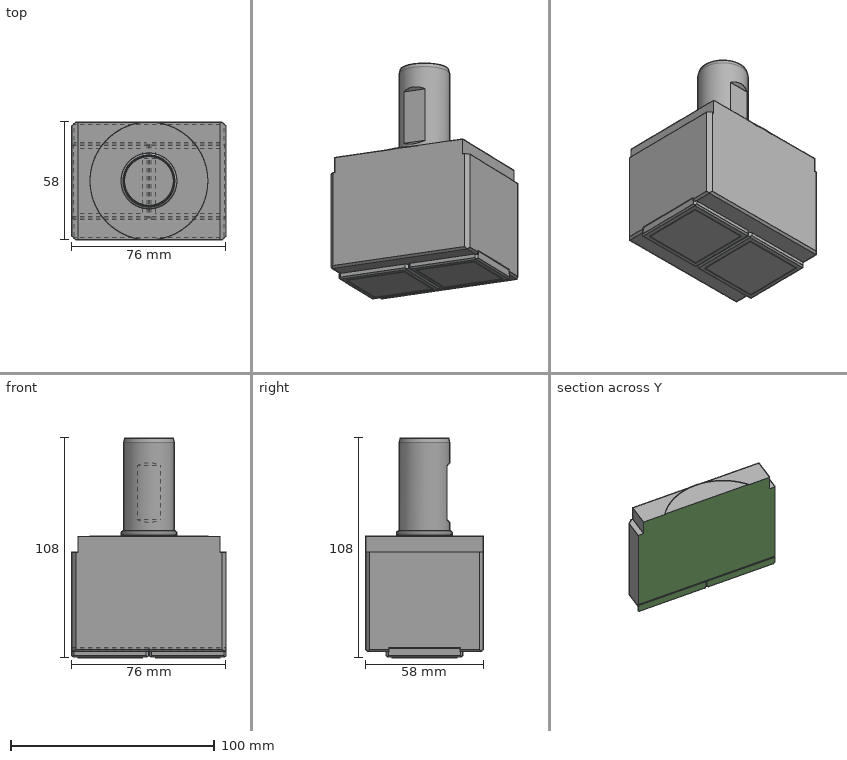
import cadquery as cq

total_height = 108.0
body_length = 76.0
body_width = 58.0
body_bottom = 3.0
shoulder_height = 52.0
upper_length = 70.0
corner_chamfer = 2.0
bottom_chamfer = 1.1

seat_diameter = body_width
seat_top = 60.0
seat_thickness = 0.3
body_top = seat_top - seat_thickness

shank_diameter = 25.0
shank_chamfer_height = 2.0
shank_chamfer_width = 0.5
flat_offset = 11.1
flat_top = 94.5
flat_bottom = 68.0

collar_diameter = 27.5
collar_height = 1.8
collar_fillet = 1.0
neck_diameter = 25.5
neck_below_collar = 0.5
neck_above_collar = 0.2
collar_bottom = seat_top + neck_below_collar
collar_top = collar_bottom + collar_height

pad_count = 2
pad_gap = 0.3
pad_pitch = (body_length + pad_gap) / pad_count
pad_size = pad_pitch - pad_gap
pad_corner_chamfer = 1.2
pad_step = 0.3
pad_bottom_chamfer = 0.8
pad_face_inset = 3.0
slot_width = 35.0
slot_top = 5.0
tongue_clearance = 0.3
tongue_top = slot_top - tongue_clearance


def block(length, width, bottom, top):
    """Box centred on the Z axis between two heights."""
    return cq.Workplane("XY").workplane(offset=bottom).rect(length, width).extrude(top - bottom)


def cylinder(diameter, bottom, top):
    """Cylinder on the Z axis between two heights."""
    return cq.Workplane("XY").workplane(offset=bottom).circle(diameter / 2).extrude(top - bottom)


def chamfered_block(length, width, bottom, top, bottom_cut, corner_cut):
    """Block with a chamfered lower rim, then chamfered vertical corners."""
    solid = block(length, width, bottom, top)
    solid = solid.faces("<Z").edges().chamfer(bottom_cut)
    corners = block(length, width, bottom, top).edges("|Z").chamfer(corner_cut)
    return solid.intersect(corners)


def make_body():
    lower = chamfered_block(
        body_length, body_width, body_bottom, shoulder_height, bottom_chamfer, corner_chamfer
    )
    upper = block(upper_length, body_width, shoulder_height, body_top)
    seat = cylinder(seat_diameter, body_top, seat_top)
    slot = block(body_length, slot_width, body_bottom, slot_top)
    return lower.union(upper).union(seat).cut(slot)


def make_shank():
    radius = shank_diameter / 2
    tip_radius = radius - shank_chamfer_width
    shank = (
        cq.Workplane("XZ")
        .moveTo(0, body_top)
        .lineTo(radius, body_top)
        .lineTo(radius, total_height - shank_chamfer_height)
        .lineTo(tip_radius, total_height)
        .lineTo(0, total_height)
        .close()
        .revolve(360, (0, 0, 0), (0, 1, 0))
    )
    depth = radius - flat_offset
    flat = (
        cq.Workplane("YZ")
        .moveTo(flat_offset, flat_bottom)
        .lineTo(radius, flat_bottom - depth)
        .lineTo(radius, flat_top + depth)
        .lineTo(flat_offset, flat_top)
        .close()
        .extrude(radius, both=True)
    )
    return shank.cut(flat)


def make_collar():
    collar = cylinder(collar_diameter, collar_bottom, collar_top)
    collar = collar.faces(">Z").edges().fillet(collar_fillet)
    neck = cylinder(neck_diameter, body_top, collar_top + neck_above_collar)
    return collar.union(neck)


def make_pad():
    plate = chamfered_block(
        pad_size, pad_size, pad_step, body_bottom, pad_bottom_chamfer, pad_corner_chamfer
    )
    face_size = pad_size - 2 * pad_face_inset
    face = block(face_size, face_size, 0, pad_step)
    tongue = block(pad_size, slot_width, body_bottom, tongue_top)
    return plate.union(face).union(tongue)


result = make_body().union(make_shank()).union(make_collar())
for index in range(pad_count):
    pad_centre = (index - (pad_count - 1) / 2) * pad_pitch
    result = result.union(make_pad().translate((pad_centre, 0, 0)))